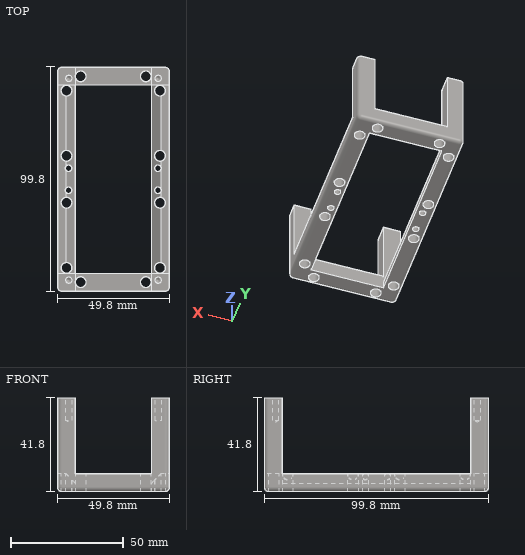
import cadquery as cq
import math

width = 49.8
length = 99.8
height = 41.8
bar = 8.0
rail_height = 8.0
edge_radius = 2.0
rail_bevel = 4.24

inner_width = width - 2 * bar
inner_length = length - 2 * bar

through_hole_shift = -0.1

large_diameter = 4.7
large_inset = 4.1
large_spacing = 29.0
large_row_x = width / 2 - large_inset
large_row_y = length / 2 - large_inset
rail_pair_y = length / 4

small_diameter = 2.8
small_inset = 5.0
small_rail_spacing = 9.8
post_hole_depth = 10.0
drill_point_angle = 118.0
small_x = width / 2 - small_inset
post_hole_y = length / 2 - small_inset


def outer_block():
    """Full envelope, rounded on the vertical and bottom edges."""
    block = cq.Workplane("XY").box(width, length, height, centered=(True, True, False))
    return block.edges("|Z").fillet(edge_radius).faces("<Z").edges().fillet(edge_radius)


def frame_openings():
    """Central window plus the gaps that leave a post at each corner."""
    span = height - rail_height
    on_base = (True, True, False)
    window = cq.Workplane("XY").box(inner_width, inner_length, height, centered=on_base)
    long_gap = cq.Workplane("XY").workplane(offset=rail_height).box(
        width, inner_length, span, centered=on_base
    )
    short_gap = cq.Workplane("XY").workplane(offset=rail_height).box(
        inner_width, length, span, centered=on_base
    )
    return window.union(long_gap).union(short_gap)


def rail_bevel_cutter(side):
    """Triangular prism along the inner top edge of one long rail."""
    inner_x = side * inner_width / 2
    return (
        cq.Workplane("XZ")
        .moveTo(inner_x, rail_height)
        .lineTo(inner_x + side * rail_bevel, rail_height)
        .lineTo(inner_x, rail_height - rail_bevel)
        .close()
        .extrude(inner_length / 2, both=True)
    )


def through_holes(diameter, points):
    """Vertical cylinders through the base frame, moved by the common shift."""
    cylinders = cq.Workplane("XY").pushPoints(points).circle(diameter / 2).extrude(rail_height)
    return cylinders.translate((through_hole_shift, 0, 0))


def post_hole(x, y):
    """Blind drilled hole with a conical bottom, from the top of a post."""
    radius = small_diameter / 2
    point_depth = radius / math.tan(math.radians(drill_point_angle / 2))
    return (
        cq.Workplane("XZ")
        .moveTo(0, height)
        .lineTo(radius, height)
        .lineTo(radius, height - post_hole_depth)
        .lineTo(0, height - post_hole_depth - point_depth)
        .close()
        .revolve(360, (0, 0, 0), (0, 1, 0))
        .translate((x, y, 0))
    )


signs = (-1, 1)
half_spacing = large_spacing / 2

short_bar_points = [(i * half_spacing, j * large_row_y) for i in signs for j in signs]
long_rail_points = [
    (i * large_row_x, j * rail_pair_y + k * half_spacing)
    for i in signs
    for j in signs
    for k in signs
]
small_points = [(i * small_x, j * small_rail_spacing / 2) for i in signs for j in signs]

result = outer_block().cut(frame_openings())
for side in signs:
    result = result.cut(rail_bevel_cutter(side))
result = result.cut(through_holes(large_diameter, short_bar_points + long_rail_points))
result = result.cut(through_holes(small_diameter, small_points))
for i in signs:
    for j in signs:
        result = result.cut(post_hole(i * small_x, j * post_hole_y))